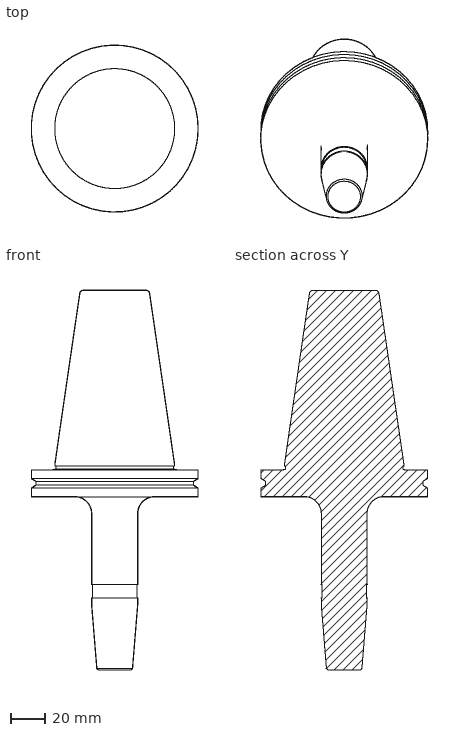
import cadquery as cq

total_length = 221.8
taper_length = 101.8
nose_z = taper_length - total_length

taper_large_radius = 35.0
taper_small_radius = 20.2
tip_fillet = 2.2

taper_land = 0.9
relief_radius = 34.4
relief_foot_radius = 36.4
relief_foot_height = 0.5
flange_gap = 3.0

flange_radius = 48.8
flange_thickness = 15.7
groove_root_radius = 46.1
groove_mouth = 5.5
groove_root_width = 2.2

shank_radius = 13.5
shank_blend_radius = 9.8

neck_radius = 13.0
neck_top_z = -70.0
band_top_z = -78.0
band_bottom_z = -81.5
nose_radius = 10.5
nose_chamfer = 0.9

flange_top_z = -flange_gap
flange_bottom_z = flange_top_z - flange_thickness
groove_z = (flange_top_z + flange_bottom_z) / 2


def revolve_profile(profile):
    """Close an XZ half-profile and revolve it about the Z axis."""
    return profile.close().revolve(360, (0, 0, 0), (0, 1, 0))


def make_taper():
    """Tapered body with a rounded small end and a relief next to the flange."""
    profile = (
        cq.Workplane("XZ")
        .moveTo(0, flange_top_z)
        .lineTo(relief_foot_radius, flange_top_z)
        .lineTo(relief_radius, flange_top_z + relief_foot_height)
        .lineTo(relief_radius, -taper_land)
        .lineTo(taper_large_radius, -taper_land)
        .lineTo(taper_large_radius, 0)
        .lineTo(taper_small_radius, taper_length)
        .lineTo(0, taper_length)
    )
    return revolve_profile(profile).faces(">Z").edges().fillet(tip_fillet)


def make_flange():
    """Round flange with a centred V-groove around its rim."""
    flange = (
        cq.Workplane("XY")
        .workplane(offset=flange_bottom_z)
        .circle(flange_radius)
        .extrude(flange_thickness)
    )
    groove = revolve_profile(
        cq.Workplane("XZ")
        .moveTo(flange_radius, groove_z + groove_mouth / 2)
        .lineTo(groove_root_radius, groove_z + groove_root_width / 2)
        .lineTo(groove_root_radius, groove_z - groove_root_width / 2)
        .lineTo(flange_radius, groove_z - groove_mouth / 2)
    )
    return flange.cut(groove)


def make_shank():
    """Shank, recessed neck, narrow band and tapered nose."""
    blend_bottom_z = flange_bottom_z - shank_blend_radius
    profile = (
        cq.Workplane("XZ")
        .moveTo(0, flange_bottom_z)
        .lineTo(shank_radius + shank_blend_radius, flange_bottom_z)
        .radiusArc((shank_radius, blend_bottom_z), -shank_blend_radius)
        .lineTo(shank_radius, neck_top_z)
        .lineTo(neck_radius, neck_top_z)
        .lineTo(neck_radius, band_top_z)
        .lineTo(shank_radius, band_top_z)
        .lineTo(shank_radius, band_bottom_z)
        .lineTo(nose_radius, nose_z)
        .lineTo(0, nose_z)
    )
    return revolve_profile(profile).faces("<Z").edges().chamfer(nose_chamfer)


result = make_taper().union(make_flange()).union(make_shank())